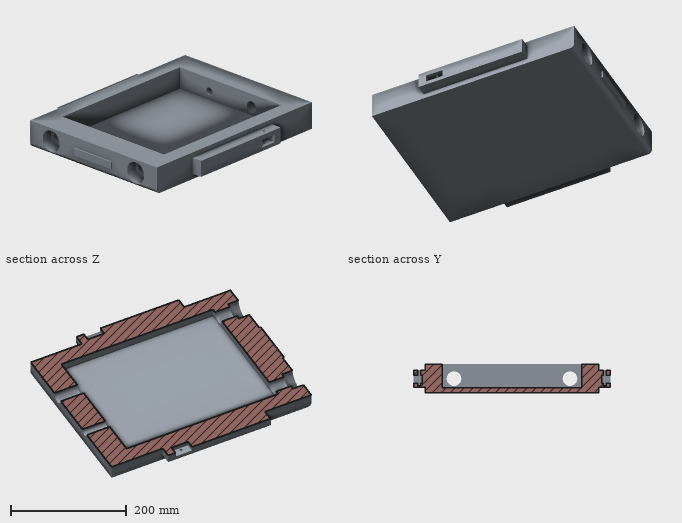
import cadquery as cq

overall_width = 340.0
overall_length = 393.0
height = 50.0
rail_width = 20.0
panel_thickness = 2.95
body_width = overall_width - 2 * rail_width
body_length = overall_length - panel_thickness
front_edge_radius = 8.0

side_wall = 30.0
rear_wall = 45.0
front_wall = 50.0
floor_thickness = 10.0
pocket_width = body_width - 2 * side_wall
pocket_length = body_length - front_wall - rear_wall

front_hole_spacing = 200.0
front_hole_diameter = 25.0
counterbore_diameter = 40.0
counterbore_depth = 20.0

rear_large_diameter = 22.5
rear_large_x = 50.0
rear_small_diameter = 15.0
rear_small_x = -50.0

rail_length = 200.0
rail_height = 30.0
rail_setback = 100.0
window_length = 31.5
window_height = 13.8
window_depth = 15.0
window_end_gap = 15.0
window_base = 7.0
pin_diameter = 5.0
pin_end_gap = window_end_gap + window_length / 2
pin_floor = 3.0

panel_width = 88.0
panel_height = 14.0
panel_base = 16.0

mid_height = height / 2


def block(size_x, size_y, size_z, x, back_y, base_z):
    """Box centred on x, running forward from back_y and up from base_z."""
    box = cq.Workplane("XY").box(size_x, size_y, size_z, centered=(True, False, False))
    return box.translate((x, back_y - size_y, base_z))


def hole_along_y(diameter, depth, x, front_y):
    """Cylinder at mid height, running backward (+Y) from front_y."""
    plane = cq.Workplane("XZ", origin=(x, front_y, mid_height))
    return plane.circle(diameter / 2).extrude(-depth)


def make_tray():
    body = block(body_width, body_length, height, 0, 0, 0)
    body = body.faces("<Y").edges("<Z").fillet(front_edge_radius)
    pocket_depth = height - floor_thickness
    return body.cut(block(pocket_width, pocket_length, pocket_depth, 0, -rear_wall, floor_thickness))


def cut_wall_holes(tray):
    for x in (-front_hole_spacing / 2, front_hole_spacing / 2):
        tray = tray.cut(hole_along_y(front_hole_diameter, front_wall, x, -body_length))
        tray = tray.cut(hole_along_y(counterbore_diameter, counterbore_depth, x, -body_length))
    tray = tray.cut(hole_along_y(rear_large_diameter, rear_wall, rear_large_x, -rear_wall))
    return tray.cut(hole_along_y(rear_small_diameter, rear_wall, rear_small_x, -rear_wall))


def make_rail(side):
    """Rail on the left (side = -1) or right (side = 1) of the tray."""
    rail_x = side * (body_width + rail_width) / 2
    rail_base = mid_height - rail_height / 2
    rail = block(rail_width, rail_length, rail_height, rail_x, -rail_setback, rail_base)

    window_x = side * (overall_width - window_depth) / 2
    window_back = -rail_setback - window_end_gap
    rail = rail.cut(
        block(window_depth, window_length, window_height, window_x, window_back, rail_base + window_base)
    )

    pin_plane = cq.Workplane("XY", origin=(rail_x, -rail_setback - pin_end_gap, rail_base + pin_floor))
    return rail.cut(pin_plane.circle(pin_diameter / 2).extrude(rail_height - pin_floor))


result = cut_wall_holes(make_tray())
for side in (-1, 1):
    result = result.union(make_rail(side))
result = result.union(block(panel_width, panel_thickness, panel_height, 0, -body_length, panel_base))